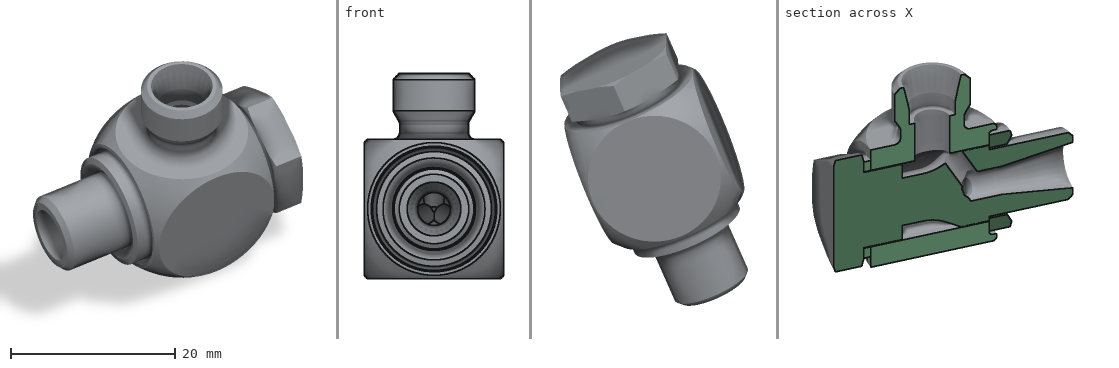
import cadquery as cq
import math


BLOCK_SIDE = 17.0
BLOCK_HALF = BLOCK_SIDE / 2
FLAT_RADIUS = 8.1
SPHERE_RADIUS = math.hypot(BLOCK_HALF, FLAT_RADIUS)
HOUSING_FRONT = -BLOCK_HALF
HOUSING_REAR = FLAT_RADIUS
HOUSING_BORE_DIAMETER = 11.0

RECESS_DIAMETER = 15.0
RECESS_DEPTH = 1.0
RECESS_CHAMFER = 0.15
RECESS_FILLET = 0.4
RECESS_FLOOR = HOUSING_FRONT + RECESS_DEPTH

SPIGOT_DIAMETER = 10.0
SPIGOT_TOP = 16.5
SPIGOT_CHAMFER = 0.75
SPIGOT_HEAD_LENGTH = 4.57
NECK_DIAMETER = 8.4
NECK_FILLET = 0.8
UNDERCUT_ANGLE = math.radians(30)
SPIGOT_BORE_DIAMETER = 4.5
SEAT_MOUTH_DIAMETER = 7.5
SEAT_FLOOR_DIAMETER = 6.0
SEAT_HALF_ANGLE = math.radians(12)
SEAT_DEPTH = 5.5

BOLT_LENGTH = 31.5
HEX_FLATS = 14.0
HEX_HEIGHT = 4.0
HEX_REAR = 13.0
HEX_FRONT = HEX_REAR - HEX_HEIGHT
HEX_END_RADIUS = 7.18
HEX_CHAMFER_ANGLE = math.radians(15)
BOLT_TIP = HEX_REAR - BOLT_LENGTH
SHANK_DIAMETER = 10.95
THREAD_DIAMETER = 9.73
TIP_CHAMFER = 0.63

WAIST_RADIUS = 3.45
WAIST_REAR = 3.95
WAIST_ARC_START = 1.2
WAIST_ARC_RADIUS = 5.5
WAIST_FLANK_ANGLE = math.radians(30)

BOLT_MOUTH_DIAMETER = 6.55
BOLT_MOUTH_DEPTH = 9.45
BOLT_BORE_DIAMETER = 4.0
BOLT_BORE_END = -5.07
DRILL_POINT_HALF_ANGLE = math.radians(59)
PORT_DIAMETER = 2.5
PORT_COUNT = 3
PORT_TILT = 30.0
PORT_AXIS_START = -5.6
PORT_LENGTH = 9.45

RING_DIAMETER = 14.0
RING_TIP = -10.45
RING_BEVEL_DIAMETER = 12.45
RING_BEVEL_DEPTH = 0.22
RING_HOLE_DIAMETER = 10.1
RING_CONE_DEPTH = 0.63


def revolved_about_y(points):
    """Revolve an outline of (radius, y) points about the Y axis."""
    return cq.Workplane("XY").polyline(points).close().revolve(360, (0, 0, 0), (0, 1, 0))


def cylinder_along_y(diameter, start, end):
    return cq.Workplane("XZ", origin=(0, start, 0)).circle(diameter / 2).extrude(start - end)


def make_block():
    block = cq.Workplane("XY").box(BLOCK_SIDE, HOUSING_REAR - HOUSING_FRONT, BLOCK_SIDE)
    block = block.translate((0, (HOUSING_REAR + HOUSING_FRONT) / 2, 0))
    return block.intersect(cq.Workplane("XY").sphere(SPHERE_RADIUS))


def make_spigot():
    radius = SPIGOT_DIAMETER / 2
    neck = NECK_DIAMETER / 2
    head_bottom = SPIGOT_TOP - SPIGOT_HEAD_LENGTH
    neck_top = head_bottom - (radius - neck) / math.tan(UNDERCUT_ANGLE)
    half_angle = UNDERCUT_ANGLE / 2
    tangent = NECK_FILLET * math.tan(half_angle)
    fillet_centre = neck + NECK_FILLET
    fillet_low = neck_top - tangent
    fillet_middle = (
        fillet_centre - NECK_FILLET * math.cos(half_angle),
        fillet_low + NECK_FILLET * math.sin(half_angle),
    )
    fillet_high = (
        neck + tangent * math.sin(UNDERCUT_ANGLE),
        neck_top + tangent * math.cos(UNDERCUT_ANGLE),
    )
    outline = (
        cq.Workplane("XZ")
        .moveTo(0, 0)
        .lineTo(fillet_centre, 0)
        .lineTo(fillet_centre, BLOCK_HALF)
        .radiusArc((neck, BLOCK_HALF + NECK_FILLET), NECK_FILLET)
        .lineTo(neck, fillet_low)
        .threePointArc(fillet_middle, fillet_high)
        .lineTo(radius, head_bottom)
        .lineTo(radius, SPIGOT_TOP - SPIGOT_CHAMFER)
        .lineTo(radius - SPIGOT_CHAMFER, SPIGOT_TOP)
        .lineTo(0, SPIGOT_TOP)
        .close()
    )
    return outline.revolve(360, (0, 0, 0), (0, 1, 0))


def make_spigot_passage():
    mouth = SEAT_MOUTH_DIAMETER / 2
    floor = SEAT_FLOOR_DIAMETER / 2
    bore = SPIGOT_BORE_DIAMETER / 2
    cone_end = SPIGOT_TOP - (mouth - floor) / math.tan(SEAT_HALF_ANGLE)
    seat_floor = SPIGOT_TOP - SEAT_DEPTH
    points = [
        (0, 0),
        (bore, 0),
        (bore, seat_floor),
        (floor, seat_floor),
        (floor, cone_end),
        (mouth, SPIGOT_TOP),
        (0, SPIGOT_TOP),
    ]
    return cq.Workplane("XZ").polyline(points).close().revolve(360, (0, 0, 0), (0, 1, 0))


def make_ring_recess():
    recess = cylinder_along_y(RECESS_DIAMETER, HOUSING_FRONT, RECESS_FLOOR)
    recess = recess.faces(">Y").edges().fillet(RECESS_FILLET)
    radius = RECESS_DIAMETER / 2
    mouth = [
        (0, HOUSING_FRONT),
        (radius + RECESS_CHAMFER, HOUSING_FRONT),
        (radius, HOUSING_FRONT + RECESS_CHAMFER),
        (0, HOUSING_FRONT + RECESS_CHAMFER),
    ]
    return recess.union(revolved_about_y(mouth))


def make_housing():
    housing = make_block().union(make_spigot())
    housing = housing.cut(cylinder_along_y(HOUSING_BORE_DIAMETER, HOUSING_FRONT, HOUSING_REAR))
    return housing.cut(make_spigot_passage()).cut(make_ring_recess())


def make_hex_head():
    corner = HEX_FLATS / math.sqrt(3)
    chamfer = (corner - HEX_END_RADIUS) * math.tan(HEX_CHAMFER_ANGLE)
    head = (
        cq.Workplane("XZ", origin=(0, HEX_FRONT, 0))
        .transformed(rotate=(0, 0, 90))
        .polygon(6, 2 * corner)
        .extrude(-HEX_HEIGHT)
    )
    envelope = [
        (0, HEX_FRONT),
        (HEX_END_RADIUS, HEX_FRONT),
        (corner, HEX_FRONT + chamfer),
        (corner, HEX_REAR - chamfer),
        (HEX_END_RADIUS, HEX_REAR),
        (0, HEX_REAR),
    ]
    return head.intersect(revolved_about_y(envelope))


def make_bolt_stem():
    thread = THREAD_DIAMETER / 2
    shank = SHANK_DIAMETER / 2
    arc_centre_radius = WAIST_RADIUS + WAIST_ARC_RADIUS

    def arc_point(angle):
        return (
            arc_centre_radius - WAIST_ARC_RADIUS * math.cos(angle),
            WAIST_ARC_START - WAIST_ARC_RADIUS * math.sin(angle),
        )

    arc_end = arc_point(WAIST_FLANK_ANGLE)
    flank_front = arc_end[1] - (shank - arc_end[0]) / math.tan(WAIST_FLANK_ANGLE)
    outline = (
        cq.Workplane("XY")
        .moveTo(0, BOLT_TIP)
        .lineTo(thread - TIP_CHAMFER, BOLT_TIP)
        .lineTo(thread, BOLT_TIP + TIP_CHAMFER)
        .lineTo(thread, RECESS_FLOOR)
        .lineTo(shank, RECESS_FLOOR)
        .lineTo(shank, flank_front)
        .lineTo(*arc_end)
        .threePointArc(arc_point(WAIST_FLANK_ANGLE / 2), (WAIST_RADIUS, WAIST_ARC_START))
        .lineTo(WAIST_RADIUS, WAIST_REAR)
        .lineTo(shank, WAIST_REAR)
        .lineTo(shank, HEX_FRONT)
        .lineTo(0, HEX_FRONT)
        .close()
    )
    return outline.revolve(360, (0, 0, 0), (0, 1, 0))


def make_bolt_bore():
    mouth = BOLT_MOUTH_DIAMETER / 2
    bore = BOLT_BORE_DIAMETER / 2
    return revolved_about_y([
        (0, BOLT_TIP),
        (mouth, BOLT_TIP),
        (bore, BOLT_TIP + BOLT_MOUTH_DEPTH),
        (bore, BOLT_BORE_END),
        (0, BOLT_BORE_END + bore / math.tan(DRILL_POINT_HALF_ANGLE)),
    ])


def make_port(angle):
    """Slanted hole from the bore to the waist, turned about the bolt axis; angle 0 leans up."""
    tilt = math.radians(PORT_TILT)
    direction = cq.Vector(0, math.sin(tilt), math.cos(tilt))
    start = cq.Vector(0, PORT_AXIS_START, 0)
    port = cq.Solid.makeCylinder(PORT_DIAMETER / 2, PORT_LENGTH, start, direction)
    return port.rotate(cq.Vector(0, 0, 0), cq.Vector(0, 1, 0), angle)


def make_bolt():
    bolt = make_hex_head().union(make_bolt_stem()).cut(make_bolt_bore())
    for index in range(PORT_COUNT):
        bolt = bolt.cut(cq.Workplane(obj=make_port(index * 360 / PORT_COUNT)))
    return bolt


def make_sealing_ring():
    hole = RING_HOLE_DIAMETER / 2
    outer = RING_DIAMETER / 2
    return revolved_about_y([
        (hole, RECESS_FLOOR),
        (outer, RECESS_FLOOR),
        (outer, RING_TIP + RING_BEVEL_DEPTH),
        (RING_BEVEL_DIAMETER / 2, RING_TIP),
        (hole, RING_TIP + RING_CONE_DEPTH),
    ])


def make_washer():
    washer = cylinder_along_y(RING_DIAMETER, HOUSING_REAR, HEX_FRONT)
    return washer.cut(cylinder_along_y(HOUSING_BORE_DIAMETER, HOUSING_REAR, HEX_FRONT))


housing = make_housing()
bolt = make_bolt()
sealing_ring = make_sealing_ring()
washer = make_washer()

result = cq.Compound.makeCompound([housing.val(), bolt.val(), sealing_ring.val(), washer.val()])